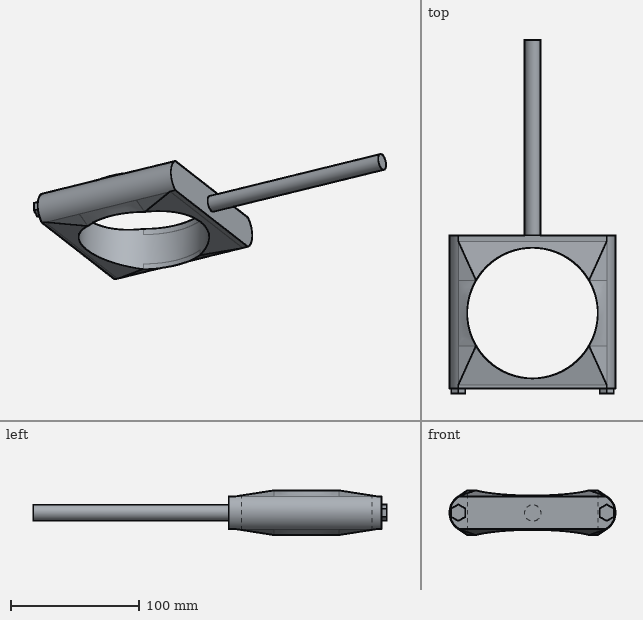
import cadquery as cq
import math

frame_width = 129.54
frame_length = 119.38
frame_back = 60.5
frame_front = frame_back - frame_length
side_edge_x = 57.785
frame_half_thickness = 12.7
front_chamfer = 0.4

bore_radius = 50.8
rim_half_height = 34.92 / 2
rim_half_angle = math.radians(30)
panel_edge_y = 55.88

rod_diameter = 12.7
rod_length = 152.4

hex_sides = 6
hex_across_flats = 11.1125
hex_height = 3.87

rim_x = bore_radius * math.cos(rim_half_angle)
rim_y = bore_radius * math.sin(rim_half_angle)


def make_frame():
    """Bar with a flat top and bottom and a circular arc on each long side, chamfered at the front."""
    top = frame_half_thickness
    return (
        cq.Workplane("XZ", origin=(0, frame_back, 0))
        .moveTo(-side_edge_x, top)
        .lineTo(side_edge_x, top)
        .threePointArc((frame_width / 2, 0), (side_edge_x, -top))
        .lineTo(-side_edge_x, -top)
        .threePointArc((-frame_width / 2, 0), (-side_edge_x, top))
        .close()
        .extrude(frame_length)
        .faces("<Y")
        .chamfer(front_chamfer)
    )


def mirrored_solid(top_face, top_edges):
    """Solid between a top face and its mirror image below the XY plane."""
    faces = [top_face, top_face.mirror("XY")]
    for edge in top_edges:
        faces.append(cq.Face.makeRuledSurface(edge, edge.mirror("XY")))
    return cq.Workplane(cq.Solid.makeSolid(cq.Shell.makeShell(faces)))


def polygon_solid(points):
    """Mirrored solid under a flat polygonal top face."""
    wire = cq.Wire.makePolygon([cq.Vector(*point) for point in points], close=True)
    return mirrored_solid(cq.Face.makeFromWires(wire), wire.Edges())


def make_end_panel():
    """Sloping panel from the flat back margin up to the rim corners."""
    return polygon_solid([
        (-side_edge_x, panel_edge_y, frame_half_thickness),
        (side_edge_x, panel_edge_y, frame_half_thickness),
        (rim_x, rim_y, rim_half_height),
        (-rim_x, rim_y, rim_half_height),
    ])


def make_corner_panel():
    """Triangular panel between an end panel and a side panel."""
    return polygon_solid([
        (side_edge_x, panel_edge_y, frame_half_thickness),
        (side_edge_x, rim_y, frame_half_thickness),
        (rim_x, rim_y, rim_half_height),
    ])


def make_side_panel():
    """Ruled panel from the straight side edge up to the full-height rim arc."""
    outer_start = cq.Vector(side_edge_x, -rim_y, frame_half_thickness)
    outer_end = cq.Vector(side_edge_x, rim_y, frame_half_thickness)
    rim_start = cq.Vector(rim_x, -rim_y, rim_half_height)
    rim_middle = cq.Vector(bore_radius, 0, rim_half_height)
    rim_end = cq.Vector(rim_x, rim_y, rim_half_height)
    outer_edge = cq.Edge.makeLine(outer_start, outer_end)
    rim_edge = cq.Edge.makeThreePointArc(rim_start, rim_middle, rim_end)
    top_edges = [
        outer_edge,
        rim_edge,
        cq.Edge.makeLine(outer_start, rim_start),
        cq.Edge.makeLine(outer_end, rim_end),
    ]
    return mirrored_solid(cq.Face.makeRuledSurface(outer_edge, rim_edge), top_edges)


def make_rim():
    """Raised panels on all four sides, mirrored about the bore axis."""
    end_panel = make_end_panel()
    corner_panel = make_corner_panel()
    side_panel = make_side_panel()
    back = end_panel.union(corner_panel).union(corner_panel.mirror("YZ"))
    sides = side_panel.union(side_panel.mirror("YZ"))
    return back.union(back.mirror("XZ")).union(sides)


def make_rod():
    """Round handle standing on the back face."""
    return (
        cq.Workplane("XZ", origin=(0, frame_back, 0))
        .circle(rod_diameter / 2)
        .extrude(-rod_length)
    )


def make_bolt_heads():
    """Hexagonal heads on the front face, with a corner pointing up."""
    across_corners = hex_across_flats / math.cos(math.pi / hex_sides)
    head = (
        cq.Workplane("XZ", origin=(side_edge_x, frame_front, 0))
        .transformed(rotate=(0, 0, 90))
        .polygon(hex_sides, across_corners)
        .extrude(hex_height)
    )
    return head.union(head.mirror("YZ"))


def make_bore():
    """Cylinder that cuts the ring opening through the full rim height."""
    return (
        cq.Workplane("XY", origin=(0, 0, -rim_half_height))
        .circle(bore_radius)
        .extrude(2 * rim_half_height)
    )


result = make_frame().union(make_rim()).cut(make_bore()).union(make_rod()).union(make_bolt_heads())